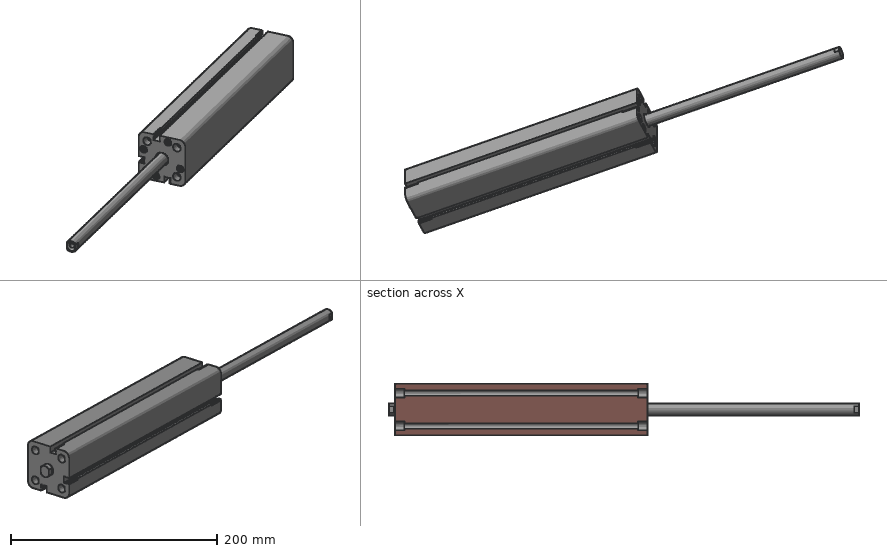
import cadquery as cq
import math


total_length = 456.5
front_rod_length = 205.5
rear_rod_length = 6.0
front_cap_length = 15.0
rear_cap_length = 13.5
housing_length = total_length - front_rod_length - rear_rod_length
barrel_length = housing_length - front_cap_length - rear_cap_length
barrel_start = front_cap_length
rear_cap_start = barrel_start + barrel_length

side = 50.0
half_side = side / 2
corner_radius = 6.5

slot_depth = 6.5
slot_right = -2.5
slot_left = -9.0
lip_width = 1.5
lip_thickness = 3.0
cap_lip_recess = 0.7
quarter_turns = (0, 90, 180, 270)
slot_turns = quarter_turns[:3]

mount_offset = 16.0
mount_bore_diameter = 8.0
mount_bore_depth = 9.0
mount_hole_diameter = 5.0

screw_near_offset = 6.5
screw_far_offset = 19.5
screw_bore_diameter = 7.5
screw_bore_depth = 2.0
socket_across_flats = 3.5
socket_depth = 2.7
hexagon_sides = 6

rod_diameter = 12.0
flats_width = 10.0
flats_length = 4.5
rod_bearing_diameter = 13.5
rod_bearing_depth = 2.5
rod_hole_diameter = 5.0
rod_hole_depth = 12.0
countersink_diameter = 9.0


def cylinder_along_y(diameter, start, length, x=0.0, z=0.0):
    """Cylinder along +Y from Y = start."""
    return cq.Workplane("XY").add(
        cq.Solid.makeCylinder(diameter / 2, length, cq.Vector(x, start, z), cq.Vector(0, 1, 0))
    )


def block(x_min, x_max, start, length, z_min, z_max):
    """Axis-aligned box given by its limits."""
    corner = cq.Vector(x_min, start, z_min)
    return cq.Workplane("XY").add(cq.Solid.makeBox(x_max - x_min, length, z_max - z_min, corner))


def turn_about_rod(shape, angle):
    """Turn counterclockwise as seen from -Y."""
    return shape.rotate((0, 0, 0), (0, -1, 0), angle)


def housing_section(start, length, lip_recess):
    """Rounded square prism with undercut sensor slots, their lips lowered by lip_recess."""
    section = block(-half_side, half_side, start, length, -half_side, half_side)
    section = section.edges("|Y").fillet(corner_radius)
    floor = half_side - slot_depth
    mouth = block(slot_left + lip_width, slot_right, start, length, floor, half_side)
    undercut = block(slot_left, slot_right, start, length, floor, half_side - lip_thickness)
    slot = mouth.union(undercut)
    if lip_recess > 0:
        slot = slot.union(block(slot_left, slot_right, start, length, half_side - lip_recess, half_side))
    for angle in slot_turns:
        section = section.cut(turn_about_rod(slot, angle))
    return section


def mounting_hole():
    """Through hole counterbored at both caps."""
    place = {"x": mount_offset, "z": mount_offset}
    hole = cylinder_along_y(mount_hole_diameter, 0, housing_length, **place)
    for start in (0, housing_length - mount_bore_depth):
        hole = hole.union(cylinder_along_y(mount_bore_diameter, start, mount_bore_depth, **place))
    return hole


def screw_recess():
    """Round recess in the front cap with a hexagon socket in its floor."""
    place = {"x": screw_near_offset, "z": screw_far_offset}
    recess = cylinder_along_y(screw_bore_diameter, 0, screw_bore_depth, **place)
    socket = (
        cq.Workplane("XZ", origin=(screw_near_offset, 0, screw_far_offset))
        .polygon(hexagon_sides, socket_across_flats / math.cos(math.pi / hexagon_sides))
        .extrude(-screw_bore_depth - socket_depth)
    )
    return recess.union(socket)


def build_rod():
    """Through rod with wrench flats at both ends and a countersunk hole in the front end."""
    rod_start = -front_rod_length
    rod_end = rod_start + total_length
    rod = cylinder_along_y(rod_diameter, rod_start, total_length)
    for start in (rod_start, rod_end - flats_length):
        for x in (-flats_width / 2 - rod_diameter, flats_width / 2):
            rod = rod.cut(block(x, x + rod_diameter, start, flats_length, -rod_diameter, rod_diameter))
    rod = rod.cut(cylinder_along_y(rod_hole_diameter, rod_start, rod_hole_depth))
    countersink = cq.Solid.makeCone(
        countersink_diameter / 2,
        rod_hole_diameter / 2,
        (countersink_diameter - rod_hole_diameter) / 2,
        cq.Vector(0, rod_start, 0),
        cq.Vector(0, 1, 0),
    )
    return rod.cut(cq.Workplane("XY").add(countersink))


def build_housing():
    """Barrel and two caps, bored for the mounting holes, screws and rod."""
    front_cap = housing_section(0, front_cap_length, cap_lip_recess)
    barrel = housing_section(barrel_start, barrel_length, 0)
    rear_cap = housing_section(rear_cap_start, rear_cap_length, cap_lip_recess)
    housing = barrel.union(front_cap, clean=False).union(rear_cap, clean=False)
    for angle in quarter_turns:
        housing = housing.cut(turn_about_rod(mounting_hole(), angle), clean=False)
        housing = housing.cut(turn_about_rod(screw_recess(), angle), clean=False)
    return housing.cut(cylinder_along_y(rod_bearing_diameter, 0, rod_bearing_depth), clean=False)


result = build_housing().union(build_rod(), clean=False)